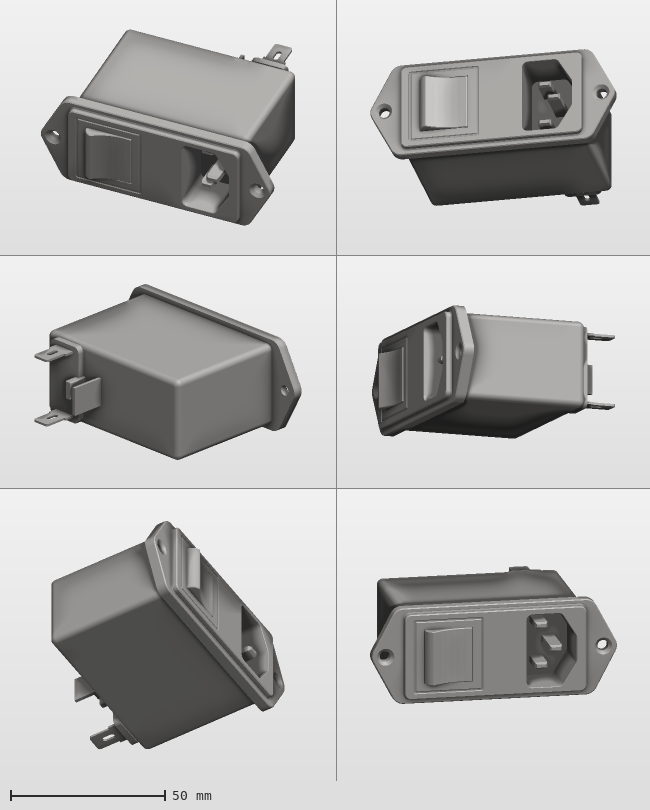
import cadquery as cq
import math


FLANGE_HALF_LENGTH = 40.47
FLANGE_HALF_HEIGHT = 16.0
FLANGE_THICKNESS = 3.6
FLANGE_SHOULDER_X = 32.5
FLANGE_CORNER_RADIUS = 4.0
FLANGE_CHAMFER = 0.3
SCREW_X = 36.0
SCREW_HOLE_DIAMETER = 3.5
SCREW_SINK_DIAMETER = 5.65
SCREW_SINK_ANGLE = 90.0

HOUSING_LENGTH = 60.0
HOUSING_HEIGHT = 28.4
HOUSING_DEPTH = 43.0
HOUSING_RADIUS = 2.0
BEZEL_HEIGHT = 2.0
BEZEL_CHAMFER = 0.3
PLINTH_RISE = 0.25
PLINTH_FOOT_LENGTH = 60.2
PLINTH_FOOT_HEIGHT = 29.3

HOUSING_REAR_Y = FLANGE_THICKNESS + HOUSING_DEPTH
BEZEL_FRONT_Y = -BEZEL_HEIGHT

SWITCH_X = -15.65
FRAME_LENGTH = 23.2
FRAME_HEIGHT = 24.8
FRAME_CORNER_RADIUS = 0.8
FRAME_GROOVE_WIDTH = 0.95
FRAME_GROOVE_DEPTH = 0.3
FRAME_GROOVE_SLOPE = 0.25
WINDOW_LENGTH = 16.2
WINDOW_HEIGHT = 18.4
WINDOW_DEPTH = 0.5
ROCKER_CLEARANCE = 0.15
ROCKER_ROOT_DEPTH = 2.0
ROCKER_LOW_RISE = 0.35
ROCKER_CREST_RADIUS = 0.5
ROCKER_EDGE_CHAMFER = 0.25
ROCKER_TOE_RADIUS = 0.5
ROCKER_HEEL_POINT = (0.85, 2.1)
ROCKER_CREST = (2.65, 3.3)
ROCKER_DISH_POINT = (8.4, 0.75)

SOCKET_LEFT_X = 10.2
SOCKET_RIGHT_X = 26.75
SOCKET_SHOULDER_X = 21.8
SOCKET_HALF_HEIGHT = 12.25
SOCKET_FLAT_HALF_HEIGHT = 4.3
SOCKET_RADIUS = 2.0
SOCKET_DEPTH = 16.0
SOCKET_MOUTH_CHAMFER = 0.15
PIN_LENGTH_X = 4.1
PIN_HEIGHT = 2.1
PIN_TAPER_LENGTH = 1.0
PIN_TAPER_INSET = 0.5
OUTER_PIN_SETBACK = 6.0
EARTH_PIN_SETBACK = 1.5
OUTER_PIN_X = 16.35
OUTER_PIN_Z = 6.75
EARTH_PIN_X = 20.3

BLOCK_X = 19.68
BLOCK_LENGTH = 12.8
BLOCK_HEIGHT = 27.0
BLOCK_DEPTH = 2.25
BLOCK_RADIUS = 2.0
TAB_Z = 11.35
TAB_THICKNESS = 0.8
TAB_WIDTH = 6.3
TAB_ROOT_WIDTH = 7.7
TAB_REACH = 13.4
TAB_SHOULDER = 5.6
TAB_CORNER = 0.9
SLOT_WIDTH = 1.8
SLOT_LENGTH = 4.5
SLOT_CENTRE = 7.75
BLADE_X = 5.75
BLADE_THICKNESS = 1.1
BLADE_HEIGHT = 9.7
BLADE_REACH = 11.85
EARTH_TAB_X = 13.4
EARTH_TAB_THICKNESS = 2.1
EARTH_TAB_HEIGHT = 6.3
EARTH_TAB_REACH = 6.9
EARTH_TAB_END_CHAMFER = 0.2
EARTH_TAB_SIDE_CHAMFER = 0.35


def facing_rear(y):
    """Sketch plane parallel to XZ at the given Y, with its normal toward +Y and local y along -Z."""
    return cq.Workplane(cq.Plane(origin=(0, y, 0), xDir=(1, 0, 0), normal=(0, 1, 0)))


def box_from(x, z, length, height, y_start, y_end):
    """Rectangular block centred on (x, z) and reaching from y_start to y_end."""
    block = cq.Workplane("XY").box(length, y_end - y_start, height, centered=(True, False, True))
    return block.translate((x, y_start, z))


def make_flange():
    """Six-sided plate with rounded corners and two countersunk screw holes."""
    tip_x = flange_tip_x()
    outline = [
        (-tip_x, 0),
        (-FLANGE_SHOULDER_X, FLANGE_HALF_HEIGHT),
        (FLANGE_SHOULDER_X, FLANGE_HALF_HEIGHT),
        (tip_x, 0),
        (FLANGE_SHOULDER_X, -FLANGE_HALF_HEIGHT),
        (-FLANGE_SHOULDER_X, -FLANGE_HALF_HEIGHT),
    ]
    plate = facing_rear(0).polyline(outline).close().extrude(FLANGE_THICKNESS)
    plate = plate.edges("|Y").fillet(FLANGE_CORNER_RADIUS)
    plate = plate.faces("<Y").chamfer(FLANGE_CHAMFER)
    return (
        plate.faces("<Y").workplane(origin=(0, 0, 0))
        .pushPoints([(-SCREW_X, 0), (SCREW_X, 0)])
        .cskHole(SCREW_HOLE_DIAMETER, SCREW_SINK_DIAMETER, SCREW_SINK_ANGLE)
    )


def flange_tip_x():
    """X of the sharp end of the flange before its corner is rounded."""
    base = FLANGE_HALF_LENGTH - FLANGE_CORNER_RADIUS
    ratio = (FLANGE_CORNER_RADIUS / FLANGE_HALF_HEIGHT) ** 2
    a = 1 - ratio
    b = -2 * (base - ratio * FLANGE_SHOULDER_X)
    c = base**2 - FLANGE_CORNER_RADIUS**2 - ratio * FLANGE_SHOULDER_X**2
    return (-b + math.sqrt(b * b - 4 * a * c)) / (2 * a)


def make_housing():
    """Rounded box from the bezel front to the rear wall, with the sloped plinth at the bezel foot."""
    housing = box_from(0, 0, HOUSING_LENGTH, HOUSING_HEIGHT, BEZEL_FRONT_Y, HOUSING_REAR_Y)
    housing = housing.edges("|Y or >Y").fillet(HOUSING_RADIUS)
    housing = housing.faces("<Y").chamfer(BEZEL_CHAMFER)
    foot = rounded_rectangle(PLINTH_FOOT_LENGTH, PLINTH_FOOT_HEIGHT)
    crown = rounded_rectangle(HOUSING_LENGTH, HOUSING_HEIGHT)
    crown = crown.moved(cq.Location(cq.Vector(0, 0, PLINTH_RISE)))
    plinth = cq.Workplane("XZ").placeSketch(foot, crown).loft()
    return housing.union(plinth)


def rounded_rectangle(length, height):
    """Sketch of a rectangle with the corner radius of the housing."""
    return cq.Sketch().rect(length, height).vertices().fillet(HOUSING_RADIUS)


def make_frame_groove():
    """Shallow rectangular groove with sloped walls around the switch."""
    island_growth = 2 * (FRAME_GROOVE_SLOPE - FRAME_GROOVE_WIDTH)
    y_end = BEZEL_FRONT_Y + FRAME_GROOVE_DEPTH
    outer = box_from(SWITCH_X, 0, FRAME_LENGTH, FRAME_HEIGHT, BEZEL_FRONT_Y, y_end)
    outer = outer.edges("|Y").fillet(FRAME_CORNER_RADIUS)
    island = box_from(
        SWITCH_X, 0, FRAME_LENGTH + island_growth, FRAME_HEIGHT + island_growth, BEZEL_FRONT_Y, y_end
    )
    return outer.faces(">Y").chamfer(FRAME_GROOVE_SLOPE).cut(island.faces("<Y").chamfer(FRAME_GROOVE_SLOPE))


def make_window():
    """Shallow recess in which the rocker sits."""
    return box_from(SWITCH_X, 0, WINDOW_LENGTH, WINDOW_HEIGHT, BEZEL_FRONT_Y, BEZEL_FRONT_Y + WINDOW_DEPTH)


def make_rocker():
    """Rocker with a bulged heel on the -X side and a dished face falling toward +X."""
    left = SWITCH_X - WINDOW_LENGTH / 2 + ROCKER_CLEARANCE
    right = SWITCH_X + WINDOW_LENGTH / 2 - ROCKER_CLEARANCE
    height = WINDOW_HEIGHT - 2 * ROCKER_CLEARANCE
    base_y = BEZEL_FRONT_Y + ROCKER_ROOT_DEPTH

    def point(offset, rise):
        """Profile point measured from the -X side and the bezel face."""
        return (left + offset, BEZEL_FRONT_Y - rise)

    rocker = (
        cq.Workplane("XY", origin=(0, 0, -height / 2))
        .moveTo(left, base_y)
        .lineTo(left, BEZEL_FRONT_Y)
        .threePointArc(point(*ROCKER_HEEL_POINT), point(*ROCKER_CREST))
        .threePointArc(point(*ROCKER_DISH_POINT), (right, BEZEL_FRONT_Y - ROCKER_LOW_RISE))
        .lineTo(right, base_y)
        .close()
        .extrude(height)
    )
    rocker = rocker.edges("|Z and <Y").fillet(ROCKER_CREST_RADIUS)
    rocker = rocker.faces(">X").edges("|Z and <Y").fillet(ROCKER_TOE_RADIUS)
    return rocker.faces("<Z or >Z").chamfer(ROCKER_EDGE_CHAMFER)


def make_socket():
    """Inlet cavity with two sloped corners on the +X side."""
    outline = [
        (SOCKET_LEFT_X, SOCKET_HALF_HEIGHT),
        (SOCKET_SHOULDER_X, SOCKET_HALF_HEIGHT),
        (SOCKET_RIGHT_X, SOCKET_FLAT_HALF_HEIGHT),
        (SOCKET_RIGHT_X, -SOCKET_FLAT_HALF_HEIGHT),
        (SOCKET_SHOULDER_X, -SOCKET_HALF_HEIGHT),
        (SOCKET_LEFT_X, -SOCKET_HALF_HEIGHT),
    ]
    cavity = facing_rear(BEZEL_FRONT_Y).polyline(outline).close().extrude(SOCKET_DEPTH)
    return cavity.edges("|Y").fillet(SOCKET_RADIUS)


def add_socket(body):
    """Cut the inlet cavity and break the edge of its mouth."""
    body = body.cut(make_socket())
    reach = SOCKET_MOUTH_CHAMFER
    mouth = cq.selectors.BoxSelector(
        (SOCKET_LEFT_X - reach, BEZEL_FRONT_Y - reach, -SOCKET_HALF_HEIGHT - reach),
        (SOCKET_RIGHT_X + reach, BEZEL_FRONT_Y + reach, SOCKET_HALF_HEIGHT + reach),
    )
    return body.edges(mouth).chamfer(SOCKET_MOUTH_CHAMFER)


def make_pin(x, z, tip_setback):
    """Contact pin with a tapered tip, standing on the socket floor."""
    tip_y = BEZEL_FRONT_Y + tip_setback
    shoulder_y = tip_y + PIN_TAPER_LENGTH
    shank = box_from(x, z, PIN_LENGTH_X, PIN_HEIGHT, shoulder_y, BEZEL_FRONT_Y + SOCKET_DEPTH)
    tip = (
        cq.Workplane("XZ", origin=(x, shoulder_y, z))
        .rect(PIN_LENGTH_X, PIN_HEIGHT)
        .workplane(offset=PIN_TAPER_LENGTH)
        .rect(PIN_LENGTH_X - 2 * PIN_TAPER_INSET, PIN_HEIGHT - 2 * PIN_TAPER_INSET)
        .loft()
    )
    return shank.union(tip)


def make_terminal_block():
    """Raised pad on the rear wall that carries the two slotted tabs."""
    block = box_from(BLOCK_X, 0, BLOCK_LENGTH, BLOCK_HEIGHT, HOUSING_REAR_Y, HOUSING_REAR_Y + BLOCK_DEPTH)
    return block.edges("|Y").fillet(BLOCK_RADIUS)


def make_slotted_tab(z):
    """Stepped flat tab with a solder slot."""
    root = box_from(
        BLOCK_X, z, TAB_ROOT_WIDTH, TAB_THICKNESS, HOUSING_REAR_Y, HOUSING_REAR_Y + TAB_SHOULDER
    )
    blade = box_from(BLOCK_X, z, TAB_WIDTH, TAB_THICKNESS, HOUSING_REAR_Y, HOUSING_REAR_Y + TAB_REACH)
    blade = blade.faces(">Y").edges("|Z").fillet(TAB_CORNER)
    slot = (
        cq.Workplane("XY", origin=(BLOCK_X, HOUSING_REAR_Y + SLOT_CENTRE, z))
        .slot2D(SLOT_LENGTH, SLOT_WIDTH, 90)
        .extrude(TAB_THICKNESS, both=True)
    )
    return root.union(blade).cut(slot)


def make_blade():
    """Plain upright blade on the rear wall."""
    return box_from(BLADE_X, 0, BLADE_THICKNESS, BLADE_HEIGHT, HOUSING_REAR_Y, HOUSING_REAR_Y + BLADE_REACH)


def make_earth_tab():
    """Short upright tab, chamfered along its -X side and round its end."""
    tab = box_from(
        EARTH_TAB_X,
        0,
        EARTH_TAB_THICKNESS,
        EARTH_TAB_HEIGHT,
        HOUSING_REAR_Y,
        HOUSING_REAR_Y + EARTH_TAB_REACH,
    )
    tab = tab.faces("<X").edges("|Y").chamfer(EARTH_TAB_SIDE_CHAMFER)
    return tab.faces(">Y").chamfer(EARTH_TAB_END_CHAMFER)


result = make_flange().union(make_housing())
result = result.cut(make_frame_groove()).cut(make_window())
result = add_socket(result)
result = result.union(make_rocker())
for pin_z in (OUTER_PIN_Z, -OUTER_PIN_Z):
    result = result.union(make_pin(OUTER_PIN_X, pin_z, OUTER_PIN_SETBACK))
result = result.union(make_pin(EARTH_PIN_X, 0, EARTH_PIN_SETBACK))
result = result.union(make_terminal_block())
for tab_z in (TAB_Z, -TAB_Z):
    result = result.union(make_slotted_tab(tab_z))
result = result.union(make_blade()).union(make_earth_tab())